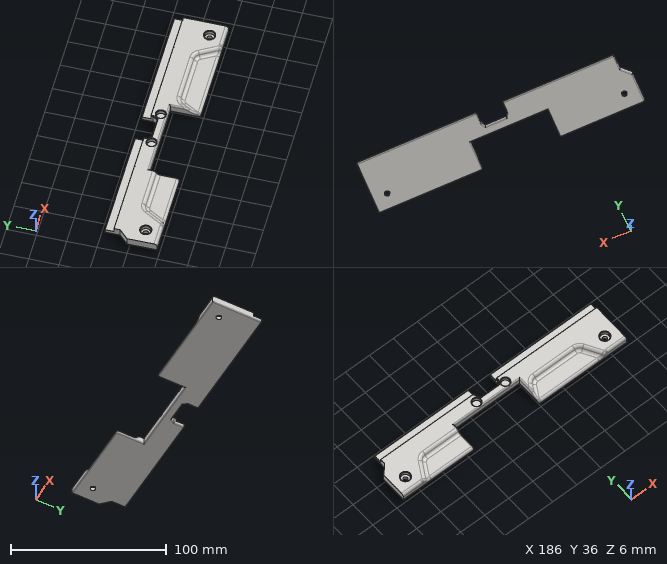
import math

import cadquery as cq

length = 186.0
depth = 36.0
thickness = 6.0
front_round = 2.0
corner_cut = 6.0
corner_cut_start = 20.0
bottom_round = 0.5

ledge_depth = 6.0
ledge_height = 3.0

front_notch_left = 59.2
front_notch_right = 113.3
front_notch_depth = 20.0
front_notch_round = 1.0

rear_notch_width = 18.2
rear_notch_floor = 25.5
rear_notch_bevel_width = 1.75
rear_notch_bevel_depth = 3.0
rear_notch_chamfer = 0.6

recess_drop = 3.0
wall_radius = 3.0
recess_top_edge = 17.8
bend_radius = 2.5
bend_angle = 60.0
bend_inset = 30.7
right_recess_left_bend = 122.3

screw_inset = 10.0
screw_y = 10.0
screw_diameter = 3.4
counterbore_diameter = 7.0
counterbore_depth = 3.0
counterbore_chamfer = 0.4
magnet_diameter = 6.3
magnet_depth = 3.0
magnet_chamfer = 0.4
magnet_spacing = 24.0
magnet_y = 24.2

wall_turn = math.acos(1 - recess_drop / 2 / wall_radius)
wall_half_width = wall_radius * math.sin(wall_turn)
floor_level = thickness - recess_drop
bend_y = recess_top_edge - 2 * wall_half_width - bend_radius

slope_run = 2 * bend_y
margin = 0.01


def make_plate():
    """Plate with a cut corner and a stepped rear ledge."""
    outline = [
        (0, 0),
        (length, 0),
        (length, depth),
        (corner_cut, depth),
        (corner_cut, corner_cut_start + corner_cut),
        (0, corner_cut_start),
    ]
    plate = cq.Workplane("XY").polyline(outline).close().extrude(thickness)
    step = (
        cq.Workplane("XY")
        .box(length, ledge_depth, thickness, centered=False)
        .translate((0, depth - ledge_depth, ledge_height))
    )
    return plate.cut(step)


def wall_plane(bend_x, outward_angle):
    """Upright plane through the bend axis, its x direction pointing out of the recess."""
    angle = math.radians(outward_angle)
    return cq.Plane(
        origin=(bend_x, bend_y, 0),
        xDir=(math.cos(angle), math.sin(angle), 0),
        normal=(math.sin(angle), -math.cos(angle), 0),
    )


def wall_section(plane, inner):
    """Recess section: flat floor from `inner`, then an S-shaped wall up to the top face."""
    floor_end = bend_radius
    middle = floor_end + wall_half_width
    top_end = middle + wall_half_width
    half_arc_width = wall_radius * math.sin(wall_turn / 2)
    half_arc_rise = wall_radius * (1 - math.cos(wall_turn / 2))
    return (
        cq.Workplane(plane)
        .moveTo(inner, floor_level)
        .lineTo(floor_end, floor_level)
        .threePointArc(
            (floor_end + half_arc_width, floor_level + half_arc_rise),
            (middle, floor_level + recess_drop / 2),
        )
        .threePointArc((top_end - half_arc_width, thickness - half_arc_rise), (top_end, thickness))
        .lineTo(inner, thickness)
        .close()
    )


def recess_from_bend(bend_x, run):
    """Sloped left wall, bend, and a rear wall that runs `run` to the right of the bend."""
    rear_plane = wall_plane(bend_x, 90)
    slope_plane = wall_plane(bend_x, 90 + bend_angle)
    rear = wall_section(rear_plane, -2 * bend_y).extrude(run)
    bend = wall_section(rear_plane, 0).revolve(bend_angle, (0, 0, 0), (0, 1, 0))
    slope = wall_section(slope_plane, -bend_y).extrude(-slope_run)
    return rear.union(bend).union(slope)


def make_recesses():
    """Left recess runs out through the notch side; the right one is closed by a wall at both ends."""
    left = recess_from_bend(bend_inset, front_notch_left - bend_inset)
    right_middle = (right_recess_left_bend + length - bend_inset) / 2
    half = recess_from_bend(right_recess_left_bend, right_middle - right_recess_left_bend)
    mirrored = half.mirror("YZ", (right_middle, 0, 0))
    return left, half, mirrored


def make_front_notch():
    """Block that clears the wide front notch."""
    width = front_notch_right - front_notch_left
    block = cq.Workplane("XY").box(width, front_notch_depth, thickness, centered=False)
    return block.translate((front_notch_left, 0, 0))


def make_rear_notch():
    """Prism that clears the rear notch, with bevelled inner corners."""
    half_width = rear_notch_width / 2
    half_floor = half_width - rear_notch_bevel_width
    outline = [
        (-half_width, depth),
        (-half_width, rear_notch_floor + rear_notch_bevel_depth),
        (-half_floor, rear_notch_floor),
        (half_floor, rear_notch_floor),
        (half_width, rear_notch_floor + rear_notch_bevel_depth),
        (half_width, depth),
    ]
    return (
        cq.Workplane("XY").center(length / 2, 0).polyline(outline).close().extrude(thickness)
    )


def blind_hole(x, y, diameter, hole_depth, chamfer):
    """Cutter for a round hole sunk from the top face, with a chamfered mouth."""
    radius = diameter / 2
    section = [
        (0, thickness - hole_depth),
        (radius, thickness - hole_depth),
        (radius, thickness - chamfer),
        (radius + chamfer, thickness),
        (0, thickness),
    ]
    return (
        cq.Workplane("XZ").polyline(section).close()
        .revolve(360, (0, 0, 0), (0, 1, 0)).translate((x, y, 0))
    )


def upper_edges(part, low, high):
    """Edges of the part above its bottom face whose centres lie in an X-Y rectangle, uprights left out."""
    region = cq.selectors.BoxSelector(
        (low[0] - margin, low[1] - margin, margin),
        (high[0] + margin, high[1] + margin, thickness + margin),
    )
    return part.edges(region).edges("not |Z")


def break_upper_edges(part):
    """Round the front edge along the recess profiles, then round the upper edge of the front notch."""
    part = upper_edges(part, (0, 0), (length, 0)).fillet(front_round)
    notch_low = (front_notch_left, 0)
    notch_high = (front_notch_right, front_notch_depth)
    return upper_edges(part, notch_low, notch_high).fillet(front_notch_round)


def chamfer_rear_notch(part):
    """Chamfer the rear notch where it cuts the top face."""
    half_width = rear_notch_width / 2
    ledge_step = depth - ledge_depth
    low = (length / 2 - half_width, rear_notch_floor)
    high = (length / 2 + half_width, ledge_step - 2 * margin)
    return upper_edges(part, low, high).chamfer(rear_notch_chamfer)


def make_holes():
    """Counterbored screw holes near the ends and blind magnet holes beside the rear notch."""
    cutters = []
    for x in (screw_inset, length - screw_inset):
        cutters.append(
            blind_hole(x, screw_y, counterbore_diameter, counterbore_depth, counterbore_chamfer)
        )
        shank = cq.Workplane("XY").circle(screw_diameter / 2).extrude(thickness)
        cutters.append(shank.translate((x, screw_y, 0)))
    for side in (-1, 1):
        x = length / 2 + side * magnet_spacing / 2
        cutters.append(blind_hole(x, magnet_y, magnet_diameter, magnet_depth, magnet_chamfer))
    return cutters


result = make_plate().cut(make_front_notch())
for recess in make_recesses():
    result = result.cut(recess)
result = break_upper_edges(result)
result = chamfer_rear_notch(result.cut(make_rear_notch()))
result = result.faces("<Z").edges().fillet(bottom_round)
for cutter in make_holes():
    result = result.cut(cutter)